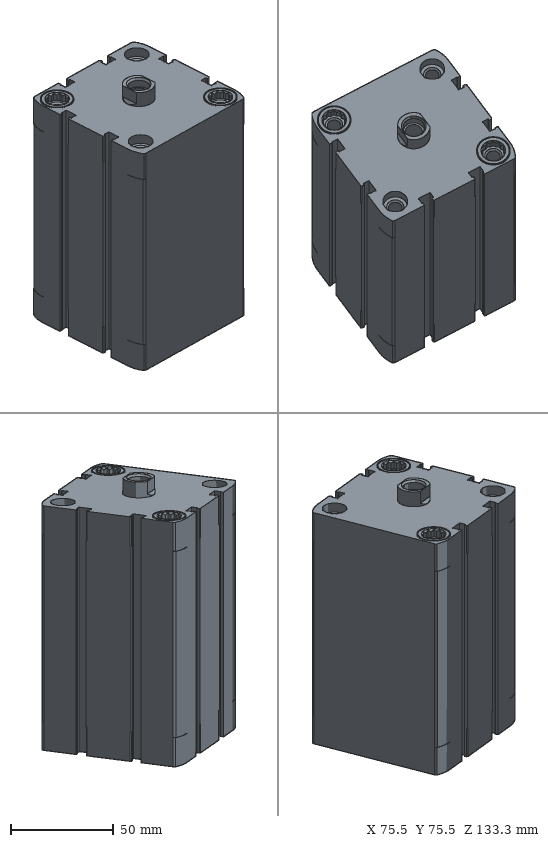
import cadquery as cq
import math


overall_height = 133.3
rod_projection = 8.0
housing_width = 75.5
half_width = housing_width / 2
housing_height = overall_height - rod_projection
cap_height = 14.9
tube_height = housing_height - 2 * cap_height

arc_start = 28.5
bevel_end_y = 34.3
cap_arc_end = (37.3, 35.5)
tube_arc_end = (36.9, 35.6)

slot_depth = 4.9
lip_thickness = 1.7
mouth_inner = 12.0
mouth_outer = 17.3
undercut_inner = 11.0
undercut_outer = 17.7
cap_mouth_inner = 11.5
cap_mouth_flare_depth = 0.4

hole_offset = 28.3
hole_diameter = 6.7
hole_entry_diameter = 8.4
counterbore_diameter = 12.0
counterbore_depth = 4.9

head_clearance_diameter = 16.4
head_face_diameter = 15.5
head_groove_depth = 0.5
socket_across_flats = 10.1
socket_chamfer_diameter = 12.0
socket_chamfer_depth = 1.6
socket_depth = 4.4

rod_diameter = 16.0
rod_embedded_length = cap_height
flat_spacing = 13.0
flat_length = 6.4
rod_chamfer_diameter = 12.0
rod_chamfer_depth = 1.2
rod_counterbore_diameter = 10.5
rod_counterbore_depth = 4.9
rod_thread_diameter = 8.4
rod_thread_depth = 18.7
drill_point_angle = 118.0


def revolved(points):
    """Solid of revolution about the Z axis from (radius, z) points."""
    return cq.Workplane("XZ").polyline(points).close().revolve(360, (0, 0), (0, 1))


def block(arc_end, bottom, height):
    """Housing section whose corner arcs end at the given point."""
    arc_end_x, arc_end_y = arc_end
    run = arc_end_x - arc_start
    drop = half_width - arc_end_y
    radius = (run ** 2 + drop ** 2) / (2 * drop)
    return (
        cq.Workplane("XY").workplane(offset=bottom)
        .moveTo(-arc_start, -half_width)
        .lineTo(arc_start, -half_width)
        .radiusArc((arc_end_x, -arc_end_y), -radius)
        .lineTo(half_width, -bevel_end_y)
        .lineTo(half_width, bevel_end_y)
        .lineTo(arc_end_x, arc_end_y)
        .radiusArc((arc_start, half_width), -radius)
        .lineTo(-arc_start, half_width)
        .radiusArc((-arc_end_x, arc_end_y), -radius)
        .lineTo(-half_width, bevel_end_y)
        .lineTo(-half_width, -bevel_end_y)
        .lineTo(-arc_end_x, -arc_end_y)
        .radiusArc((-arc_start, -half_width), -radius)
        .close()
        .extrude(height)
    )


def cut_slots(body, slot):
    """Cut a slot and its mirror image into the -Y, -X and +Y faces; +X stays plain."""
    pair = slot.union(slot.mirror("YZ"))
    for turn in (0, -90, 180):
        body = body.cut(pair.rotate((0, 0, 0), (0, 0, 1), turn), clean=False)
    return body


def slot_mouth(surface_mouth_inner, bottom, height):
    """Opening of a slot between its lips in the -Y face."""
    flare_y = cap_mouth_flare_depth - half_width
    lip_y = lip_thickness - half_width
    return (
        cq.Workplane("XY").workplane(offset=bottom)
        .moveTo(surface_mouth_inner, -half_width)
        .lineTo(mouth_outer, -half_width)
        .lineTo(mouth_outer, lip_y)
        .lineTo(mouth_inner, lip_y)
        .lineTo(mouth_inner, flare_y)
        .close()
        .extrude(height)
    )


def slot_undercut():
    """Wide part of a slot behind its lips, running the whole housing height."""
    return (
        cq.Workplane("XY")
        .moveTo(undercut_inner, lip_thickness - half_width)
        .lineTo(undercut_outer, lip_thickness - half_width)
        .lineTo(undercut_outer, slot_depth - half_width)
        .lineTo(undercut_inner, slot_depth - half_width)
        .close()
        .extrude(housing_height)
    )


def section(arc_end, surface_mouth_inner, bottom, height):
    """Housing section with the slot mouths cut into it."""
    mouth = slot_mouth(surface_mouth_inner, bottom, height)
    return cut_slots(block(arc_end, bottom, height), mouth)


def mounting_hole(recess_depth):
    """Through hole with a chamfered entry at the bottom of a recess of the given depth."""
    radius = hole_diameter / 2
    entry_radius = hole_entry_diameter / 2
    recess_z = housing_height - recess_depth
    return revolved([
        (0, 0),
        (radius, 0),
        (radius, recess_z - (entry_radius - radius)),
        (entry_radius, recess_z),
        (0, recess_z),
    ])


def counterbore():
    return (
        cq.Workplane("XY").workplane(offset=housing_height)
        .circle(counterbore_diameter / 2)
        .extrude(-counterbore_depth)
    )


def head_groove():
    """Ring groove formed by the chamfered rim of a screw head in its straight-walled seat."""
    clearance_radius = head_clearance_diameter / 2
    return revolved([
        (head_face_diameter / 2, housing_height),
        (clearance_radius, housing_height),
        (clearance_radius, housing_height - head_groove_depth),
    ])


def socket():
    """Twelve-point socket, made of two crossed hexagons, with a conical entry."""
    across_corners = socket_across_flats / math.cos(math.pi / 6)
    hexagon = (
        cq.Workplane("XY").workplane(offset=housing_height)
        .polygon(6, across_corners)
        .extrude(-socket_depth)
    )
    crossed_hexagon = hexagon.rotate((0, 0, 0), (0, 0, 1), 30)
    entry = revolved([
        (0, housing_height),
        (socket_chamfer_diameter / 2, housing_height),
        (socket_across_flats / 2, housing_height - socket_chamfer_depth),
        (0, housing_height - socket_chamfer_depth),
    ])
    return hexagon.union(crossed_hexagon).union(entry)


def make_housing():
    top_cap_bottom = housing_height - cap_height
    body = section(tube_arc_end, mouth_inner, cap_height, tube_height)
    for bottom in (0, top_cap_bottom):
        cap = section(cap_arc_end, cap_mouth_inner, bottom, cap_height)
        body = body.union(cap, clean=False)
    body = cut_slots(body, slot_undercut())

    plain_hole = mounting_hole(counterbore_depth).union(counterbore())
    screw_hole = mounting_hole(socket_depth).union(socket())
    for side_x in (-1, 1):
        for side_y in (-1, 1):
            place = (side_x * hole_offset, side_y * hole_offset, 0)
            if side_x == side_y:
                body = body.cut(screw_hole.translate(place), clean=False)
                body = body.cut(head_groove().translate(place), clean=False)
            else:
                body = body.cut(plain_hole.translate(place), clean=False)

    rod_seat = (
        cq.Workplane("XY").workplane(offset=housing_height)
        .circle(rod_diameter / 2)
        .extrude(-rod_embedded_length)
    )
    return body.cut(rod_seat, clean=False)


def rod_bore():
    """Chamfered counterbore and threaded hole with a conical drill point."""
    counterbore_radius = rod_counterbore_diameter / 2
    thread_radius = rod_thread_diameter / 2
    shoulder_z = overall_height - rod_counterbore_depth
    thread_end_z = overall_height - rod_thread_depth
    point_depth = thread_radius / math.tan(math.radians(drill_point_angle / 2))
    return revolved([
        (0, overall_height),
        (rod_chamfer_diameter / 2, overall_height),
        (counterbore_radius, overall_height - rod_chamfer_depth),
        (counterbore_radius, shoulder_z),
        (thread_radius, shoulder_z),
        (thread_radius, thread_end_z),
        (0, thread_end_z - point_depth),
    ])


def wrench_flat():
    """Cutter for the flat on the +Y side, running out at 45 degrees."""
    rod_radius = rod_diameter / 2
    flat_y = flat_spacing / 2
    flat_end_z = overall_height - flat_length
    return (
        cq.Workplane("YZ")
        .polyline([
            (flat_y, overall_height),
            (flat_y, flat_end_z),
            (rod_radius, flat_end_z - (rod_radius - flat_y)),
            (rod_radius, overall_height),
        ])
        .close()
        .extrude(rod_radius, both=True)
    )


def make_rod():
    rod = (
        cq.Workplane("XY").workplane(offset=overall_height)
        .circle(rod_diameter / 2)
        .extrude(-(rod_projection + rod_embedded_length))
    )
    flat = wrench_flat()
    return rod.cut(flat).cut(flat.mirror("XZ")).cut(rod_bore())


housing = make_housing()
piston_rod = make_rod()
result = cq.Compound.makeCompound([housing.val(), piston_rod.val()])